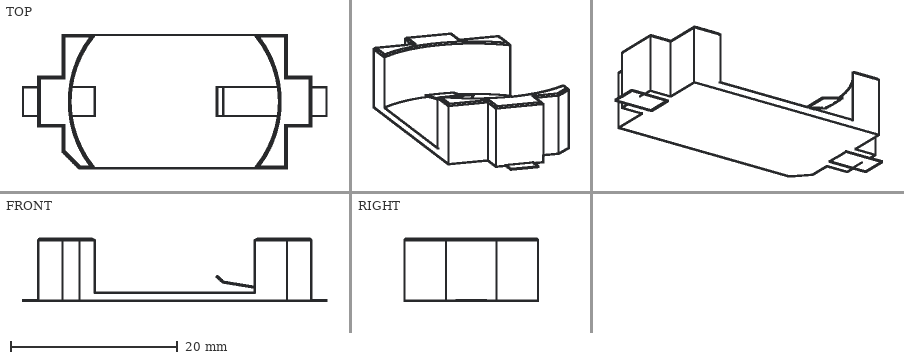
import cadquery as cq
import math


overall_length = 36.4
body_length = 26.85
body_width = 16.0
height = 7.45
floor_thickness = 1.0
block_span = 32.75
block_width = 6.0
corner_cut = 2.0
cell_radius = 12.5
rim_chamfer = 0.22

contact_width = 3.5
sheet_thickness = 0.1
riser_x = 12.92
tab_end_x = overall_length / 2

bottom_riser_top = 1.02
bottom_bend_x = 5.8
bottom_bend_z = 2.2
bottom_tip_x = 5.02
bottom_tip_z = 2.88

side_riser_top = 7.03
side_tip_x = 9.6
side_tip_z = 6.2


def make_housing():
    """Body with end blocks, a round cell pocket open at both sides, and a chamfered rim."""
    body = cq.Workplane("XY").box(body_length, body_width, height, centered=(True, True, False))
    body = body.edges("|Z and <X and <Y").chamfer(corner_cut)
    blocks = cq.Workplane("XY").box(block_span, block_width, height, centered=(True, True, False))
    pocket = cq.Workplane("XY").workplane(offset=floor_thickness).circle(cell_radius).extrude(height)
    return body.union(blocks).cut(pocket).faces(">Z").chamfer(rim_chamfer)


def right_normal(start, end):
    """Unit normal on the right-hand side of the segment from start to end."""
    dx = end[0] - start[0]
    dz = end[1] - start[1]
    length = math.hypot(dx, dz)
    return (dz / length, -dx / length)


def offset_path(path, distance):
    """Move a path sideways to its right, with mitred corners."""
    normals = [right_normal(start, end) for start, end in zip(path, path[1:])]
    before = [normals[0]] + normals
    after = normals + [normals[-1]]
    moved = []
    for (x, z), a, b in zip(path, before, after):
        miter = distance / (1 + a[0] * b[0] + a[1] * b[1])
        moved.append((x + miter * (a[0] + b[0]), z + miter * (a[1] + b[1])))
    return moved


def make_contact(spring_points):
    """Contact on the +X side: solder tab, riser inside the housing, then the spring."""
    face = [(tab_end_x, 0), (riser_x, 0)] + spring_points
    outline = face + offset_path(face, sheet_thickness)[::-1]
    return cq.Workplane("XZ").polyline(outline).close().extrude(contact_width / 2, both=True)


bottom_contact = make_contact([
    (riser_x, bottom_riser_top),
    (bottom_bend_x, bottom_bend_z),
    (bottom_tip_x, bottom_tip_z),
])
side_contact = make_contact([
    (riser_x, side_riser_top),
    (side_tip_x, side_tip_z),
]).mirror("YZ")

housing = make_housing().cut(bottom_contact).cut(side_contact)

result = cq.Compound.makeCompound([housing.solids().val(), bottom_contact.val(), side_contact.val()])